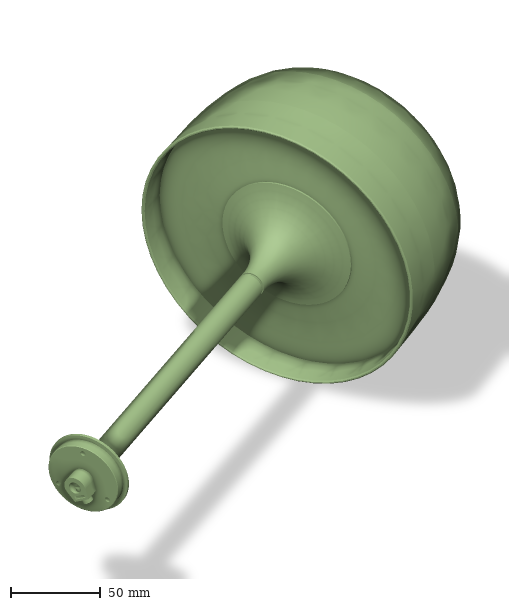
import cadquery as cq
import math


RIM_Y = 228.8
RIM_RADIUS = 85.95
SKIRT_HEIGHT = 27.5
SKIRT_TOP_RADIUS = 85.25
SHOULDER_Y = 294.2
SHOULDER_RADIUS = 80.0
CROWN_EDGE_Y = 325.8
CROWN_EDGE_RADIUS = 48.8
CROWN_Y = 329.5
SHADE_WALL = 2.0
RIM_CHAMFER = 0.7

DIFFUSER_EDGE_DEPTH = 17.0
DIFFUSER_RISE = 4.0
DIFFUSER_THICKNESS = 1.0
DIFFUSER_CLEARANCE = 0.5

TRUMPET_RADIUS = 40.7
TRUMPET_RADIUS_AT_RIM = 18.3
TRUMPET_LIP = 1.0

TUBE_RADIUS = 7.63
TUBE_START_Y = 26.8
TUBE_END_Y = 197.3
JOINT_RING_HEIGHT = 2.0
JOINT_RING_RECESS = 0.7
CORD_BORE_RADIUS = 3.7

PLATE_RADIUS = 22.0
PLATE_THICKNESS = 6.5
PLATE_CHAMFER = 0.5
PLATE_HOLE_RADIUS = 1.53
PLATE_HOLE_CIRCLE_RADIUS = 18.0
PLATE_HOLE_COUNT = 3
FIRST_HOLE_ANGLE = 90.0
CANOPY_RADIUS = 24.7
CANOPY_RIM_HEIGHT = 1.7
CANOPY_CONE_HEIGHT = 1.0
CANOPY_FILLET = 7.5

GRIP_LENGTH = 9.5
GRIP_RADIUS = 6.8
GRIP_ARM_REACH = 8.5
GRIP_ARM_HALF_WIDTH = 4.9
GRIP_ARM_ANGLE = 60.0
SCREW_RADIUS = 3.0
SCREW_TIP_REACH = 1.5
SCREW_END_REACH = 12.0
NUT_REACH = 5.0
NUT_THICKNESS = 2.0
NUT_WIDTH = 7.0

diffuser_edge_y = RIM_Y + DIFFUSER_EDGE_DEPTH
diffuser_inner_y = diffuser_edge_y - DIFFUSER_RISE
trumpet_lip_y = diffuser_inner_y - TRUMPET_LIP
trumpet_start_y = TUBE_END_Y + JOINT_RING_HEIGHT
grip_end_y = -GRIP_LENGTH
screw_y = grip_end_y / 2
nut_start_y = screw_y - NUT_WIDTH / 2
nut_end_y = screw_y + NUT_WIDTH / 2


def turn(profile):
    """Revolve a (radius, height) outline about the Y axis."""
    return profile.close().revolve(360, (0, 0, 0), (0, 1, 0))


def ring(inner_radius, outer_radius, start_y, end_y):
    """Plain ring on the Y axis."""
    return turn(
        cq.Workplane("XY")
        .moveTo(inner_radius, start_y)
        .lineTo(outer_radius, start_y)
        .lineTo(outer_radius, end_y)
        .lineTo(inner_radius, end_y)
    )


def make_shade():
    crown_rise = CROWN_Y - CROWN_EDGE_Y
    crown_sphere = (CROWN_EDGE_RADIUS**2 + crown_rise**2) / (2 * crown_rise)
    crown_mid_radius = CROWN_EDGE_RADIUS / 2
    crown_mid_y = CROWN_Y - crown_sphere + math.sqrt(crown_sphere**2 - crown_mid_radius**2)
    bell = turn(
        cq.Workplane("XY")
        .moveTo(0, RIM_Y)
        .lineTo(-RIM_RADIUS, RIM_Y)
        .lineTo(-SKIRT_TOP_RADIUS, RIM_Y + SKIRT_HEIGHT)
        .tangentArcPoint((-SHOULDER_RADIUS, SHOULDER_Y), relative=False)
        .tangentArcPoint((-CROWN_EDGE_RADIUS, CROWN_EDGE_Y), relative=False)
        .threePointArc((-crown_mid_radius, crown_mid_y), (0, CROWN_Y))
    )
    shell = bell.faces("<Y").shell(-SHADE_WALL)
    return shell.faces("<Y").edges().chamfer(RIM_CHAMFER)


def make_diffuser():
    taper = (RIM_RADIUS - SKIRT_TOP_RADIUS) / SKIRT_HEIGHT
    shade_radius = RIM_RADIUS - taper * (DIFFUSER_EDGE_DEPTH + DIFFUSER_THICKNESS)
    edge_radius = shade_radius - SHADE_WALL - DIFFUSER_CLEARANCE
    back_edge_y = diffuser_edge_y + DIFFUSER_THICKNESS
    back_inner_y = diffuser_inner_y + DIFFUSER_THICKNESS
    run = edge_radius - TRUMPET_RADIUS
    arc_radius = (run**2 + DIFFUSER_RISE**2) / (2 * DIFFUSER_RISE)
    mid_drop = arc_radius - math.sqrt(arc_radius**2 - (run / 2) ** 2)
    mid_radius = edge_radius - run / 2
    return turn(
        cq.Workplane("XY")
        .moveTo(-CORD_BORE_RADIUS, back_inner_y)
        .lineTo(-CORD_BORE_RADIUS, diffuser_inner_y)
        .lineTo(-TRUMPET_RADIUS, diffuser_inner_y)
        .threePointArc((-mid_radius, diffuser_edge_y - mid_drop), (-edge_radius, diffuser_edge_y))
        .lineTo(-edge_radius, back_edge_y)
        .threePointArc((-mid_radius, back_edge_y - mid_drop), (-TRUMPET_RADIUS, back_inner_y))
    )


def make_trumpet():
    return turn(
        cq.Workplane("XY")
        .moveTo(CORD_BORE_RADIUS, trumpet_start_y)
        .lineTo(TUBE_RADIUS, trumpet_start_y)
        .threePointArc((TRUMPET_RADIUS_AT_RIM, RIM_Y), (TRUMPET_RADIUS, trumpet_lip_y))
        .lineTo(TRUMPET_RADIUS, diffuser_inner_y)
        .lineTo(CORD_BORE_RADIUS, diffuser_inner_y)
    )


def make_joint_ring():
    return ring(CORD_BORE_RADIUS, TUBE_RADIUS - JOINT_RING_RECESS, TUBE_END_Y, trumpet_start_y)


def make_tube():
    return ring(CORD_BORE_RADIUS, TUBE_RADIUS, TUBE_START_Y, TUBE_END_Y)


def make_canopy():
    rim_y = PLATE_THICKNESS + CANOPY_RIM_HEIGHT
    fillet_y = rim_y + CANOPY_CONE_HEIGHT
    fillet_center_radius = TUBE_RADIUS + CANOPY_FILLET
    fillet_center_y = fillet_y + CANOPY_FILLET
    offset = CANOPY_FILLET * math.sqrt(0.5)
    return turn(
        cq.Workplane("XY")
        .moveTo(CORD_BORE_RADIUS, PLATE_THICKNESS)
        .lineTo(CANOPY_RADIUS, PLATE_THICKNESS)
        .lineTo(CANOPY_RADIUS, rim_y)
        .lineTo(fillet_center_radius, fillet_y)
        .threePointArc(
            (fillet_center_radius - offset, fillet_center_y - offset),
            (TUBE_RADIUS, fillet_center_y),
        )
        .lineTo(TUBE_RADIUS, TUBE_START_Y)
        .lineTo(CORD_BORE_RADIUS, TUBE_START_Y)
    )


def make_base_plate():
    plate = ring(CORD_BORE_RADIUS, PLATE_RADIUS, 0, PLATE_THICKNESS)
    plate = plate.faces("<Y").edges(cq.selectors.RadiusNthSelector(-1)).chamfer(PLATE_CHAMFER)
    holes = (
        cq.Workplane("XZ")
        .polarArray(PLATE_HOLE_CIRCLE_RADIUS, FIRST_HOLE_ANGLE, 360, PLATE_HOLE_COUNT)
        .circle(PLATE_HOLE_RADIUS)
        .extrude(-PLATE_THICKNESS)
    )
    return plate.cut(holes)


def turn_to_arm(body):
    return body.rotate((0, 0, 0), (0, 1, 0), GRIP_ARM_ANGLE)


def screw_shank(start_reach, end_reach):
    return (
        cq.Workplane("YZ", origin=(start_reach, 0, 0))
        .center(screw_y, 0)
        .circle(SCREW_RADIUS)
        .extrude(end_reach - start_reach)
    )


def nut_block(start_y, end_y):
    """Block as wide and thick as the nut, between two heights."""
    return (
        cq.Workplane("XZ", origin=(0, end_y, 0))
        .center(NUT_REACH + NUT_THICKNESS / 2, 0)
        .rect(NUT_THICKNESS, NUT_WIDTH)
        .extrude(end_y - start_y)
    )


def make_cord_grip():
    arm_corner_distance = math.hypot(GRIP_ARM_REACH, GRIP_ARM_HALF_WIDTH)
    corner_angle = math.atan2(GRIP_ARM_HALF_WIDTH, GRIP_ARM_REACH)
    tangent_angle = corner_angle + math.acos(GRIP_RADIUS / arm_corner_distance)
    tangent_x = GRIP_RADIUS * math.cos(tangent_angle)
    tangent_z = GRIP_RADIUS * math.sin(tangent_angle)
    body = (
        cq.Workplane("XZ")
        .moveTo(GRIP_ARM_REACH, -GRIP_ARM_HALF_WIDTH)
        .lineTo(GRIP_ARM_REACH, GRIP_ARM_HALF_WIDTH)
        .lineTo(tangent_x, tangent_z)
        .threePointArc((-GRIP_RADIUS, 0), (tangent_x, -tangent_z))
        .close()
        .extrude(GRIP_LENGTH)
    )
    bore = cq.Workplane("XZ").circle(CORD_BORE_RADIUS).extrude(GRIP_LENGTH)
    nut_pocket = nut_block(grip_end_y, nut_end_y)
    return turn_to_arm(body.cut(bore).cut(nut_pocket).cut(screw_shank(0, SCREW_END_REACH)))


def make_clamp_screw():
    return turn_to_arm(screw_shank(SCREW_TIP_REACH, SCREW_END_REACH))


def make_nut():
    return turn_to_arm(nut_block(nut_start_y, nut_end_y).cut(screw_shank(0, SCREW_END_REACH)))


result = cq.Compound.makeCompound(
    [
        make_shade().val(),
        make_diffuser().val(),
        make_trumpet().val(),
        make_joint_ring().val(),
        make_tube().val(),
        make_canopy().val(),
        make_base_plate().val(),
        make_cord_grip().val(),
        make_clamp_screw().val(),
        make_nut().val(),
    ]
)